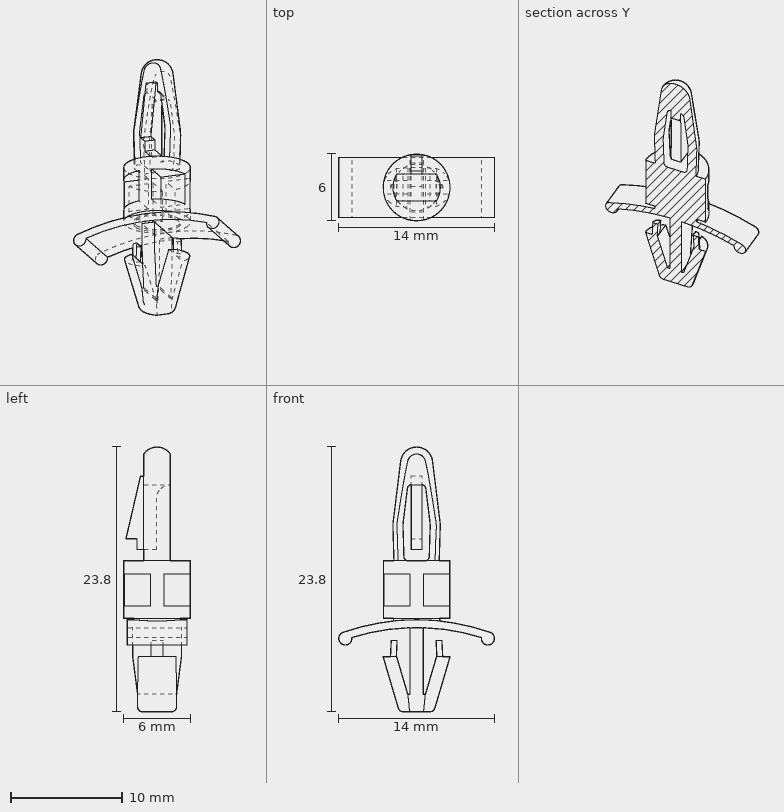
import cadquery as cq
import math

TOTAL_HEIGHT = 23.8
TIP_TOP_Z = 1.6
ARM_TOP_Z = 4.97
TAB_TOP_Z = 6.43
PLATE_TOP_Z = 8.28
SPOOL_BOTTOM_Z = 8.4
SPOOL_TOP_Z = 13.6

SPOOL_DIAMETER = 6.0
LOWER_FLANGE_THICKNESS = 1.1
UPPER_FLANGE_THICKNESS = 1.21
WEB_THICKNESS = 1.21
NECK_RADIUS = 2.1

PLATE_LENGTH = 14.0
PLATE_WIDTH = 5.4
PLATE_THICKNESS = 0.71
PLATE_RADIUS = 20.0
BEAD_RADIUS = 0.6

FOOT_HALF_WIDTH = 1.75
ARM_TOP_HALF_WIDTH = 1.7
POST_HALF_WIDTH = 4.4 / 2
TIP_BOTTOM_INNER = 0.62
TIP_BOTTOM_OUTER = 1.55
TIP_TOP_INNER = 0.79
ARM_THICKNESS = 1.24
TIP_FILLET = 0.48
ARM_TOP_INNER = 1.78
TAB_RADIUS = 0.55
TAB_BOTTOM_INNER = 1.8
TAB_TOP_INNER = 1.74

DOME_RADIUS = 1.45
STUD_BASE_RADIUS = 2.05
STUD_BULGE_RADIUS = 2.12
BULGE_CROWN = 0.02
BULGE_BOTTOM_Z = 16.15
BULGE_TOP_Z = 17.05
STUD_HALF_THICKNESS = 2.4 / 2
STUD_WALL = 0.93
SLOT_TOP_Z = 20.4
SLOT_CORNER_RADIUS = 0.35

LATCH_WIDTH = 0.98
LATCH_INNER_Y = 0.07
LATCH_TOP_Z = 21.18
LATCH_TOP_Y = 1.5
LATCH_CATCH_Z = 15.55
LATCH_CATCH_Y = 2.8
LATCH_BOTTOM_Z = 14.6
LATCH_BOTTOM_Y = 1.8
LATCH_ROOT_RADIUS = STUD_HALF_THICKNESS + LATCH_INNER_Y

DOME_CENTER_Z = TOTAL_HEIGHT - DOME_RADIUS
CONE_DROP = DOME_CENTER_Z - BULGE_TOP_Z
TANGENT_ANGLE = (
    math.acos(DOME_RADIUS / math.hypot(STUD_BULGE_RADIUS, CONE_DROP))
    - math.atan2(CONE_DROP, STUD_BULGE_RADIUS)
)

OVERLAP = 0.24


def cylinder(radius, bottom, top):
    return cq.Workplane("XY").workplane(offset=bottom).circle(radius).extrude(top - bottom)


def centered_box(length, width, bottom, top):
    box = cq.Workplane("XY").workplane(offset=bottom).rect(length, width)
    return box.extrude(top - bottom)


def extrude_along_y(profile, width):
    """Extrude an XZ profile symmetrically about the plane Y = 0."""
    return profile.extrude(width / 2, both=True)


def make_spool():
    neck = cylinder(NECK_RADIUS, PLATE_TOP_Z - PLATE_THICKNESS / 2, SPOOL_BOTTOM_Z + OVERLAP)
    barrel = cylinder(SPOOL_DIAMETER / 2, SPOOL_BOTTOM_Z, SPOOL_TOP_Z)
    gap_bottom = SPOOL_BOTTOM_Z + LOWER_FLANGE_THICKNESS
    gap_top = SPOOL_TOP_Z - UPPER_FLANGE_THICKNESS
    gap = centered_box(2 * SPOOL_DIAMETER, 2 * SPOOL_DIAMETER, gap_bottom, gap_top)
    web_x = centered_box(2 * SPOOL_DIAMETER, WEB_THICKNESS, gap_bottom, gap_top)
    web_y = centered_box(WEB_THICKNESS, 2 * SPOOL_DIAMETER, gap_bottom, gap_top)
    return barrel.cut(gap.cut(web_x).cut(web_y)).union(neck)


def make_plate():
    """Arched plate; the beads sit inside the outer arc and touch it."""
    arc_center_z = PLATE_TOP_Z - PLATE_RADIUS
    inner_radius = PLATE_RADIUS - PLATE_THICKNESS
    bead_x = PLATE_LENGTH / 2 - BEAD_RADIUS
    end_angle = math.asin(bead_x / (PLATE_RADIUS - BEAD_RADIUS))

    def arc_point(radius, side):
        return (side * radius * math.sin(end_angle), arc_center_z + radius * math.cos(end_angle))

    profile = (
        cq.Workplane("XZ")
        .moveTo(*arc_point(PLATE_RADIUS, -1))
        .threePointArc((0, PLATE_TOP_Z), arc_point(PLATE_RADIUS, 1))
        .lineTo(*arc_point(inner_radius, 1))
        .threePointArc((0, PLATE_TOP_Z - PLATE_THICKNESS), arc_point(inner_radius, -1))
        .close()
    )
    plate = extrude_along_y(profile, PLATE_WIDTH)
    for side in (-1, 1):
        bead_center = arc_point(PLATE_RADIUS - BEAD_RADIUS, side)
        bead = cq.Workplane("XZ").moveTo(*bead_center).circle(BEAD_RADIUS)
        plate = plate.union(extrude_along_y(bead, PLATE_WIDTH))
    return plate


def half_round(plane, side, inner, outer, half_width):
    """Section with a flat inner side and an arched outer side."""
    return (
        plane.moveTo(side * inner, -half_width)
        .threePointArc((side * outer, 0), (side * inner, half_width))
        .close()
    )


def half_round_loft(side, bottom, top):
    """Loft between two sections given as (z, inner, outer, half_width)."""
    base = half_round(cq.Workplane("XY").workplane(offset=bottom[0]), side, *bottom[1:])
    upper = half_round(base.workplane(offset=top[0] - bottom[0]), side, *top[1:])
    return upper.loft(ruled=True, combine=True)


def make_tip():
    def section(plane, inner, outer):
        return (
            plane.moveTo(-inner, -FOOT_HALF_WIDTH)
            .lineTo(inner, -FOOT_HALF_WIDTH)
            .threePointArc((outer, 0), (inner, FOOT_HALF_WIDTH))
            .lineTo(-inner, FOOT_HALF_WIDTH)
            .threePointArc((-outer, 0), (-inner, -FOOT_HALF_WIDTH))
            .close()
        )

    base = section(cq.Workplane("XY"), TIP_BOTTOM_INNER, TIP_BOTTOM_OUTER)
    top = section(base.workplane(offset=TIP_TOP_Z), TIP_TOP_INNER, TIP_TOP_INNER + ARM_THICKNESS)
    tip = top.loft(ruled=True, combine=True)
    return tip.faces("<Z").edges().fillet(TIP_FILLET)


def make_post():
    """Central post, tapered in Y from the shoulder down to the tip."""
    right_side = [
        (FOOT_HALF_WIDTH, TIP_TOP_Z),
        (POST_HALF_WIDTH, ARM_TOP_Z),
        (POST_HALF_WIDTH, PLATE_TOP_Z - PLATE_THICKNESS / 2),
    ]
    left_side = [(-y, z) for y, z in reversed(right_side)]
    outline = cq.Workplane("YZ").polyline(right_side + left_side).close()
    return outline.extrude(WEB_THICKNESS / 2, both=True)


def make_foot():
    foot = make_tip().union(make_post())
    for side in (-1, 1):
        arm = half_round_loft(
            side,
            (TIP_TOP_Z, TIP_TOP_INNER, TIP_TOP_INNER + ARM_THICKNESS, FOOT_HALF_WIDTH),
            (ARM_TOP_Z, ARM_TOP_INNER, ARM_TOP_INNER + ARM_THICKNESS, ARM_TOP_HALF_WIDTH),
        )
        tab = half_round_loft(
            side,
            (ARM_TOP_Z, TAB_BOTTOM_INNER, TAB_BOTTOM_INNER + TAB_RADIUS, TAB_RADIUS),
            (TAB_TOP_Z, TAB_TOP_INNER, TAB_TOP_INNER + TAB_RADIUS, TAB_RADIUS),
        )
        foot = foot.union(arm).union(tab)
    return foot


def make_slot():
    """Slot along Y that keeps an even wall to the outside of the stud."""
    slope = math.tan(TANGENT_ANGLE)
    base_x = STUD_BASE_RADIUS - STUD_WALL
    bulge_x = STUD_BULGE_RADIUS - STUD_WALL
    top_x = bulge_x - slope * (SLOT_TOP_Z - BULGE_TOP_Z)
    bulge_middle = (bulge_x + BULGE_CROWN, (BULGE_BOTTOM_Z + BULGE_TOP_Z) / 2)
    outline = (
        cq.Workplane("XZ")
        .moveTo(base_x, SPOOL_TOP_Z)
        .lineTo(bulge_x, BULGE_BOTTOM_Z)
        .threePointArc(bulge_middle, (bulge_x, BULGE_TOP_Z))
        .lineTo(top_x, SLOT_TOP_Z)
        .lineTo(-top_x, SLOT_TOP_Z)
        .lineTo(-bulge_x, BULGE_TOP_Z)
        .threePointArc((-bulge_middle[0], bulge_middle[1]), (-bulge_x, BULGE_BOTTOM_Z))
        .lineTo(-base_x, SPOOL_TOP_Z)
        .close()
    )
    slot = extrude_along_y(outline, 4 * STUD_HALF_THICKNESS)
    return slot.edges("|Y and (>Z or <Z)").fillet(SLOT_CORNER_RADIUS)


def make_latch():
    """Finger with a sloping back, a catch step and a rounded root."""
    root_bottom_z = SLOT_TOP_Z - LATCH_ROOT_RADIUS
    root_offset = LATCH_ROOT_RADIUS * (1 - math.sqrt(0.5))
    root_middle = (LATCH_INNER_Y - root_offset, SLOT_TOP_Z - root_offset)
    outline = (
        cq.Workplane("YZ")
        .moveTo(-STUD_HALF_THICKNESS, SLOT_TOP_Z)
        .threePointArc(root_middle, (LATCH_INNER_Y, root_bottom_z))
        .lineTo(LATCH_INNER_Y, LATCH_BOTTOM_Z)
        .lineTo(LATCH_BOTTOM_Y, LATCH_BOTTOM_Z)
        .lineTo(LATCH_BOTTOM_Y, LATCH_CATCH_Z)
        .lineTo(LATCH_CATCH_Y, LATCH_CATCH_Z)
        .lineTo(LATCH_TOP_Y, LATCH_TOP_Z)
        .lineTo(LATCH_INNER_Y, LATCH_TOP_Z)
        .lineTo(LATCH_INNER_Y, SLOT_TOP_Z)
        .close()
    )
    return outline.extrude(LATCH_WIDTH / 2, both=True)


def make_stud():
    def dome_point(angle):
        return (DOME_RADIUS * math.cos(angle), DOME_CENTER_Z + DOME_RADIUS * math.sin(angle))

    root_z = SPOOL_TOP_Z - OVERLAP
    bulge_middle = (STUD_BULGE_RADIUS + BULGE_CROWN, (BULGE_BOTTOM_Z + BULGE_TOP_Z) / 2)
    body = (
        cq.Workplane("XZ")
        .moveTo(0, root_z)
        .lineTo(STUD_BASE_RADIUS, root_z)
        .lineTo(STUD_BASE_RADIUS, SPOOL_TOP_Z)
        .lineTo(STUD_BULGE_RADIUS, BULGE_BOTTOM_Z)
        .threePointArc(bulge_middle, (STUD_BULGE_RADIUS, BULGE_TOP_Z))
        .lineTo(*dome_point(TANGENT_ANGLE))
        .threePointArc(dome_point(math.pi / 4), (0, TOTAL_HEIGHT))
        .close()
        .revolve(360, (0, 0, 0), (0, 1, 0))
    )
    flats = centered_box(4 * STUD_BULGE_RADIUS, 2 * STUD_HALF_THICKNESS, root_z, TOTAL_HEIGHT)
    return body.intersect(flats).cut(make_slot()).union(make_latch())


result = make_foot().union(make_plate()).union(make_spool()).union(make_stud())